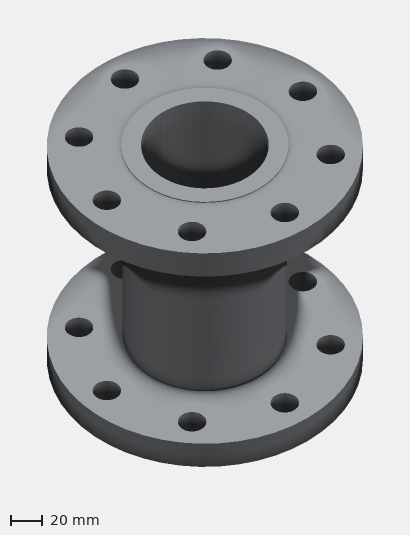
import cadquery as cq

flange_diameter = 200.0
total_length = 186.0

flange_thickness = 20.0
raised_face_diameter = 106.0
raised_face_height = 0.8

pipe_diameter = 104.5
bore_diameter = 80.8
rounded_end_inset = 1.0
rounded_end_length = 3.0

bolt_circle_diameter = 160.0
bolt_hole_diameter = 18.0
bolt_count = 8

face_height = total_length / 2
flange_outer_height = face_height - raised_face_height
flange_inner_height = flange_outer_height - flange_thickness
straight_pipe_height = flange_inner_height - rounded_end_length


def make_pipe():
    """Solid pipe body, its ends curving in tangent to the straight wall."""
    pipe_radius = pipe_diameter / 2
    end_radius = pipe_radius - rounded_end_inset
    curve_radius = (rounded_end_length**2 + rounded_end_inset**2) / (2 * rounded_end_inset)
    return (
        cq.Workplane("XZ")
        .moveTo(0, -flange_inner_height)
        .lineTo(-end_radius, -flange_inner_height)
        .radiusArc((-pipe_radius, -straight_pipe_height), curve_radius)
        .lineTo(-pipe_radius, straight_pipe_height)
        .radiusArc((-end_radius, flange_inner_height), curve_radius)
        .lineTo(0, flange_inner_height)
        .close()
        .revolve(360, (0, 0, 0), (0, 1, 0))
    )


def make_upper_flange():
    """Flange disc with its raised face on top."""
    return (
        cq.Workplane("XY")
        .workplane(offset=flange_inner_height)
        .circle(flange_diameter / 2)
        .extrude(flange_thickness)
        .faces(">Z")
        .workplane()
        .circle(raised_face_diameter / 2)
        .extrude(raised_face_height)
    )


def make_bore():
    """Cutter for the bore along the full length."""
    return (
        cq.Workplane("XY")
        .workplane(offset=-face_height)
        .circle(bore_diameter / 2)
        .extrude(total_length)
    )


def make_bolt_holes():
    """Cutters through both flanges, with the X and Y axes midway between holes."""
    angle_step = 360 / bolt_count
    return (
        cq.Workplane("XY")
        .workplane(offset=-face_height)
        .polarArray(bolt_circle_diameter / 2, angle_step / 2, 360, bolt_count)
        .circle(bolt_hole_diameter / 2)
        .extrude(total_length)
    )


upper_flange = make_upper_flange()
lower_flange = upper_flange.mirror("XY")
spool = make_pipe().union(upper_flange).union(lower_flange)
result = spool.cut(make_bore()).cut(make_bolt_holes())